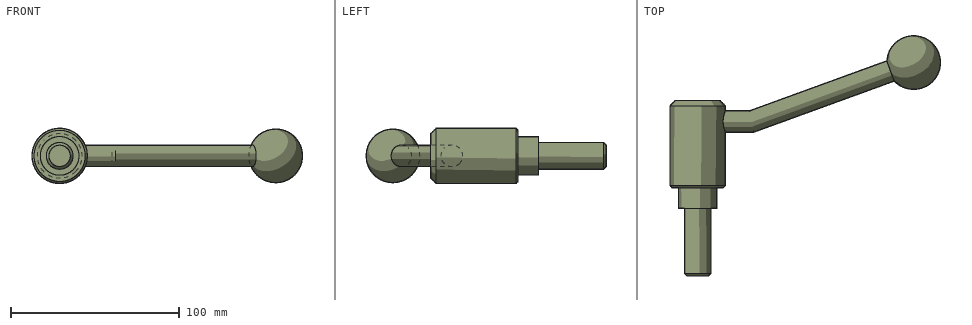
import cadquery as cq
import math

overall_length = 161.0
hub_diameter = 33.0
hub_length = 52.0
hub_top_chamfer = 3.2
hub_bottom_chamfer = 1.3

collar_diameter = 23.0
collar_length = 12.2

stud_diameter = 16.0
stud_length = 40.2
stud_chamfer = 1.6

ball_diameter = 32.0
arm_diameter = 12.9
arm_height = 39.5
bend_x = 32.2
arm_angle = 20.0

ball_x = overall_length - hub_diameter / 2 - ball_diameter / 2
ball_y = arm_height + (ball_x - bend_x) * math.tan(math.radians(arm_angle))


def cylinder_along_y(diameter, start_y, length):
    """Cylinder on the hub axis, running from start_y toward +Y."""
    plane = cq.Plane(origin=(0, start_y, 0), xDir=(1, 0, 0), normal=(0, 1, 0))
    return cq.Workplane(plane).circle(diameter / 2).extrude(length)


def make_hub():
    hub = cylinder_along_y(hub_diameter, 0, hub_length)
    hub = hub.faces(">Y").chamfer(hub_top_chamfer)
    return hub.faces("<Y").chamfer(hub_bottom_chamfer)


def make_collar():
    return cylinder_along_y(collar_diameter, -collar_length, collar_length)


def make_stud():
    stud = cylinder_along_y(stud_diameter, -collar_length - stud_length, stud_length)
    return stud.faces("<Y").chamfer(stud_chamfer)


def make_arm():
    """Round bar with a mitred bend, from the hub axis to the ball centre."""
    path = cq.Workplane("XY").polyline([(0, arm_height), (bend_x, arm_height), (ball_x, ball_y)])
    start = cq.Workplane("YZ", origin=(0, arm_height, 0))
    return start.circle(arm_diameter / 2).sweep(path, transition="right")


def make_ball():
    return cq.Workplane("XY").sphere(ball_diameter / 2).translate((ball_x, ball_y, 0))


result = make_hub().union(make_collar()).union(make_stud()).union(make_arm()).union(make_ball())